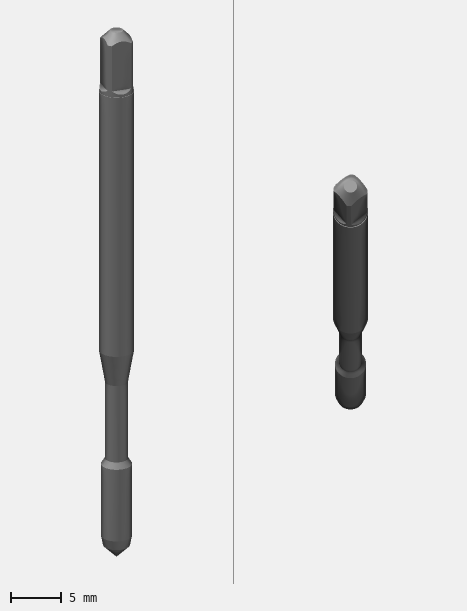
import cadquery as cq

OVERALL_LENGTH = 56.95
POINT_TOP = 1.3
LEAD_TOP = 2.35
HEAD_SHOULDER = 10.1
COLLAR_BOTTOM = 10.7
HEAD_TOP = 10.9
TAPER_BOTTOM = 18.95
TAPER_TOP = 22.4
SHANK_TOP = 50.4
FLAT_RAMP_BOTTOM = 50.7

NECK_DIAMETER = 2.3
HEAD_DIAMETER = 3.1
DRIVE_DIAMETER = 3.35
SHANK_DIAMETER = 3.5
POINT_DIAMETER = 2.7
END_FACE_DIAMETER = 1.3

SQUARE_WIDTH = 2.7
FLAT_RAMP_HEIGHT = (DRIVE_DIAMETER - SQUARE_WIDTH) / 2
END_CONE_HEIGHT = 1.0


def turned(profile):
    """Revolve (diameter, height) points about the Z axis."""
    points = [(diameter / 2, height) for diameter, height in profile]
    return cq.Workplane("XZ").polyline(points).close().revolve(360, (0, 0), (0, 1))


def make_drive_flat_cutter():
    """Material outside the flat on the +X side, with a sloping runout below."""
    flat = SQUARE_WIDTH / 2
    outside = SHANK_DIAMETER
    rise_per_width = FLAT_RAMP_HEIGHT / (DRIVE_DIAMETER / 2 - flat)
    ramp_top = FLAT_RAMP_BOTTOM + FLAT_RAMP_HEIGHT
    ramp_outer = ramp_top - rise_per_width * (outside - flat)
    return (
        cq.Workplane("XZ")
        .polyline([
            (flat, ramp_top),
            (flat, OVERALL_LENGTH),
            (outside, OVERALL_LENGTH),
            (outside, ramp_outer),
        ])
        .close()
        .extrude(SHANK_DIAMETER / 2, both=True)
    )


def make_shank():
    """Neck, taper, cylindrical shank and square drive end."""
    shank = turned([
        (0, HEAD_TOP),
        (NECK_DIAMETER, HEAD_TOP),
        (NECK_DIAMETER, TAPER_BOTTOM),
        (SHANK_DIAMETER, TAPER_TOP),
        (SHANK_DIAMETER, SHANK_TOP),
        (DRIVE_DIAMETER, SHANK_TOP),
        (DRIVE_DIAMETER, OVERALL_LENGTH - END_CONE_HEIGHT),
        (END_FACE_DIAMETER, OVERALL_LENGTH),
        (0, OVERALL_LENGTH),
    ])
    cutter = make_drive_flat_cutter()
    for angle in (0, 90, 180, 270):
        shank = shank.cut(cutter.rotate((0, 0, 0), (0, 0, 1), angle))
    return shank


def make_head():
    """Pointed cutting head with a short collar that carries the neck."""
    return turned([
        (0, 0),
        (POINT_DIAMETER, POINT_TOP),
        (HEAD_DIAMETER, LEAD_TOP),
        (HEAD_DIAMETER, HEAD_SHOULDER),
        (NECK_DIAMETER, COLLAR_BOTTOM),
        (NECK_DIAMETER, HEAD_TOP),
        (0, HEAD_TOP),
    ])


shank = make_shank()
head = make_head()

result = cq.Compound.makeCompound([shank.val(), head.val()])